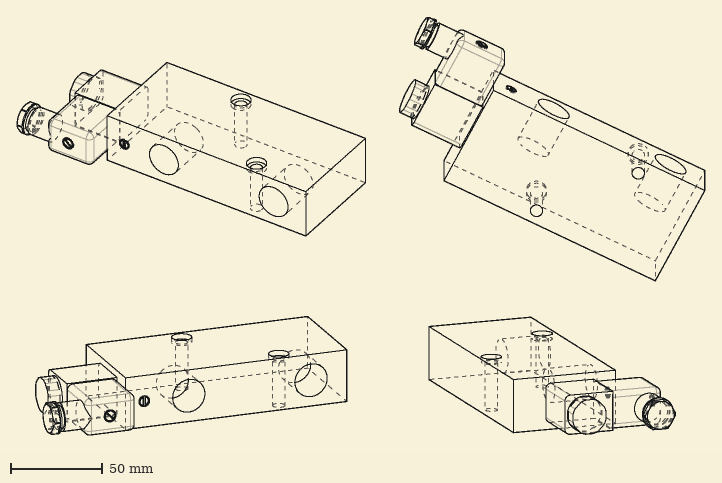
import cadquery as cq
import math


overall_length = 179.0

body_length = 130.3
body_width = 60.0
body_height = 30.0
body_top = body_height / 2

port_diameter = 19.0
port_depth = 25.0
port_positions = (37.2, 109.2)

mount_hole_diameter = 6.8
mount_counterbore_diameter = 11.1
mount_counterbore_depth = 3.0
mount_positions = ((53.3, 52.6), (93.0, 7.5))

coil_length = 29.5
coil_front = 12.9
coil_back = 41.0
coil_height = 22.2
coil_round = 3.0

nut_centre_y = 29.7
nut_diameter = 19.9
nut_length = 8.2
nut_rim = 1.3
nut_flat_count = 8
nut_across_flats = 19.3

connector_gap = 0.2
connector_length = 29.0
connector_front = -16.1
connector_height = 21.1
connector_round = 3.0

gland_diameter = 16.1
gland_centre_y = connector_front + gland_diameter / 2
gland_end_x = -41.5
neck_diameter = 13.2
neck_length = 2.3
flange_diameter = 17.9
flange_thickness = 0.9
head_end_x = body_length - overall_length
head_side_count = 6
head_across_flats = 15.8
head_chamfer_angle = 30.0

groove_width = 0.5
screw_groove_depth = 0.7
body_screw_x = 11.1
body_screw_diameter = 6.0
body_screw_slot = 1.0
connector_screw_x = -15.2
connector_screw_diameter = 6.8
connector_screw_slot = 0.5
connector_screw_slot_angle = 45.0


def box(x_range, y_range, height):
    """Block with the given X and Y limits, centred on Z = 0."""
    x0, x1 = x_range
    y0, y1 = y_range
    block = cq.Workplane("XY").box(x1 - x0, y1 - y0, height, centered=(False, False, True))
    return block.translate((x0, y0, 0))


def disc(x_start, x_end, centre_y, diameter):
    """Cylinder along X between two X positions."""
    plane = cq.Workplane("YZ", origin=(x_start, centre_y, 0))
    return plane.circle(diameter / 2).extrude(x_end - x_start)


def front_plane(x, y):
    """Workplane facing -Y at the given point of the middle height."""
    return cq.Workplane("XZ", origin=(x, y, 0))


def make_body():
    body = box((0, body_length), (0, body_width), body_height)
    for x in port_positions:
        body = body.cut(front_plane(x, 0).circle(port_diameter / 2).extrude(-port_depth))
    top = cq.Workplane("XY", origin=(0, 0, body_top)).pushPoints(mount_positions)
    holes = top.circle(mount_hole_diameter / 2).extrude(-body_height)
    counterbores = top.circle(mount_counterbore_diameter / 2).extrude(-mount_counterbore_depth)
    return body.cut(holes).cut(counterbores)


def make_coil():
    coil = box((-coil_length, 0), (coil_front, coil_back), coil_height)
    return coil.faces(">Y").edges("|X").fillet(coil_round)


def make_nut():
    outer_x = -coil_length - nut_length
    rim_x = -coil_length - nut_rim
    across_corners = nut_across_flats / math.cos(math.pi / nut_flat_count)
    half_step = 180 / nut_flat_count
    flats = (
        cq.Workplane("YZ", origin=(outer_x, nut_centre_y, 0))
        .transformed(rotate=(0, 0, half_step))
        .polygon(nut_flat_count, across_corners)
        .extrude(rim_x - outer_x)
    )
    flatted = disc(outer_x, rim_x, nut_centre_y, nut_diameter).intersect(flats)
    return flatted.union(disc(rim_x, -coil_length, nut_centre_y, nut_diameter))


def make_connector():
    x_end = -connector_gap
    x_start = x_end - connector_length
    connector = box((x_start, x_end), (connector_front, coil_front), connector_height)
    return connector.edges("|Y or <Y").fillet(connector_round)


def make_gland_head():
    """Hexagon with its corners turned down to a round end face, and the flange behind it."""
    flange_end_x = gland_end_x - neck_length
    flange_start_x = flange_end_x - flange_thickness
    head_length = flange_start_x - head_end_x
    across_corners = head_across_flats / math.cos(math.pi / head_side_count)
    chamfer_width = (flange_diameter - head_across_flats) / 2
    chamfer_length = chamfer_width * math.tan(math.radians(head_chamfer_angle))
    hexagon = (
        cq.Workplane("YZ", origin=(head_end_x, gland_centre_y, 0))
        .polygon(head_side_count, across_corners)
        .extrude(head_length)
    )
    turned = disc(head_end_x, flange_start_x, gland_centre_y, flange_diameter)
    turned = turned.faces("<X").chamfer(chamfer_length, chamfer_width)
    flange = disc(flange_start_x, flange_end_x, gland_centre_y, flange_diameter)
    return hexagon.intersect(turned).union(flange)


def make_gland():
    barrel_root_x = -connector_gap - connector_length + connector_round
    barrel = disc(gland_end_x, barrel_root_x, gland_centre_y, gland_diameter)
    neck = disc(gland_end_x - neck_length, gland_end_x, gland_centre_y, neck_diameter)
    return barrel.union(neck).union(make_gland_head())


def screw_cut(x, y, diameter, slot_width, slot_angle):
    """Ring groove and driver slot of a screw in a face at the given Y."""
    head_diameter = diameter - 2 * groove_width
    plane = front_plane(x, y)
    ring = plane.circle(diameter / 2).circle(head_diameter / 2).extrude(-screw_groove_depth)
    slot = (
        plane.transformed(rotate=(0, 0, slot_angle))
        .rect(slot_width, head_diameter + groove_width)
        .extrude(-screw_groove_depth)
    )
    return ring.union(slot)


result = make_body()
for piece in (make_coil(), make_nut(), make_connector(), make_gland()):
    result = result.union(piece)
result = result.cut(screw_cut(body_screw_x, 0, body_screw_diameter, body_screw_slot, 0))
result = result.cut(
    screw_cut(
        connector_screw_x,
        connector_front,
        connector_screw_diameter,
        connector_screw_slot,
        connector_screw_slot_angle,
    )
)